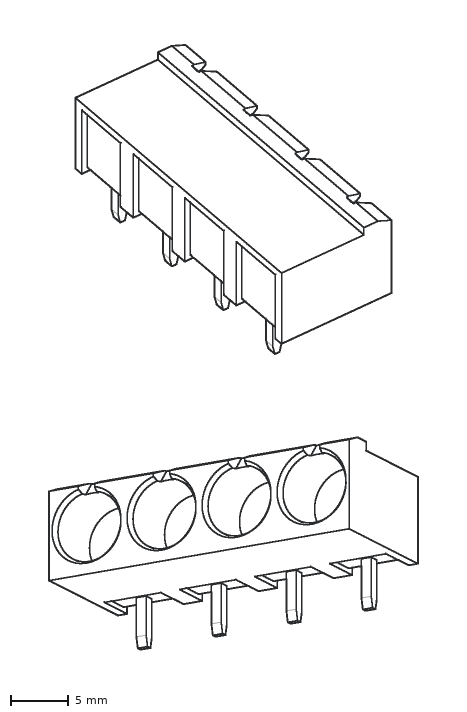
import cadquery as cq
import math

POLES = 4
LENGTH = 30.42
DEPTH = 12.0
TOTAL_HEIGHT = 12.9
BODY_HEIGHT = 8.8
PITCH = LENGTH / POLES

RIDGE_WIDTH = 3.0
RIDGE_RISE = 0.82
RIDGE_SLOPE_RUN = 1.5
RIDGE_SLOPE_DROP = 0.6

POCKET_WIDTH = 5.72
POCKET_TOP = BODY_HEIGHT - 1.6
POCKET_DEPTH = 0.6
RECESS_HEIGHT = 0.45

PIN_SIZE = 1.0
PIN_FROM_FRONT = 1.98
PIN_TIP_THICKNESS = 0.52
PIN_TIP_LENGTH = 1.0
PIN_LENGTH = TOTAL_HEIGHT - BODY_HEIGHT
RECESS_REACH = 2 * PIN_FROM_FRONT

ENTRY_RADIUS = 3.2
ENTRY_DEPTH = DEPTH / 2
ENTRY_Z = 4.5
LEAD_IN_DEPTH = 0.52
LEAD_IN_ANGLE = 30.0

NOTCH_FROM_BACK = 1.73
NOTCH_INNER_WIDTH = 1.0
NOTCH_OUTER_WIDTH = 1.65
NOTCH_FLOOR_TILT = 56.5

FRONT_Y = -DEPTH / 2
BACK_Y = DEPTH / 2
POLE_CENTRES = [(i - (POLES - 1) / 2) * PITCH for i in range(POLES)]


def housing():
    """Long block with the sloped ridge, extruded along X."""
    ridge_front = BACK_Y - RIDGE_WIDTH
    outline = [
        (FRONT_Y, 0),
        (BACK_Y, 0),
        (BACK_Y, BODY_HEIGHT - RIDGE_SLOPE_DROP),
        (BACK_Y - RIDGE_SLOPE_RUN, BODY_HEIGHT),
        (ridge_front, BODY_HEIGHT),
        (ridge_front, BODY_HEIGHT - RIDGE_RISE),
        (FRONT_Y, BODY_HEIGHT - RIDGE_RISE),
    ]
    return cq.Workplane("YZ").polyline(outline).close().extrude(LENGTH / 2, both=True)


def front_pocket(x):
    """L-shaped cut: shallow face pocket plus the deeper recess below it."""
    outline = [
        (FRONT_Y, 0),
        (FRONT_Y + RECESS_REACH, 0),
        (FRONT_Y + RECESS_REACH, RECESS_HEIGHT),
        (FRONT_Y + POCKET_DEPTH, RECESS_HEIGHT),
        (FRONT_Y + POCKET_DEPTH, POCKET_TOP),
        (FRONT_Y, POCKET_TOP),
    ]
    cut = cq.Workplane("YZ").polyline(outline).close().extrude(POCKET_WIDTH / 2, both=True)
    return cut.translate((x, 0, 0))


def wire_entry(x):
    """Blind round hole with its lead-in, revolved about an axis along Y."""
    mouth_radius = ENTRY_RADIUS + LEAD_IN_DEPTH * math.tan(math.radians(LEAD_IN_ANGLE))
    outline = [
        (0, BACK_Y),
        (mouth_radius, BACK_Y),
        (ENTRY_RADIUS, BACK_Y - LEAD_IN_DEPTH),
        (ENTRY_RADIUS, BACK_Y - ENTRY_DEPTH),
        (0, BACK_Y - ENTRY_DEPTH),
    ]
    cut = cq.Workplane("XY").polyline(outline).close().revolve(360, (0, 0), (0, 1))
    return cut.translate((x, 0, ENTRY_Z))


def notch(x):
    """Upright cut that flares towards the back face, over a steep floor down to the wire entry."""
    floor_y = BACK_Y - NOTCH_FROM_BACK
    half_inner = NOTCH_INNER_WIDTH / 2
    half_outer = NOTCH_OUTER_WIDTH / 2
    plan = [
        (-half_inner, floor_y),
        (half_inner, floor_y),
        (half_outer, BACK_Y),
        (-half_outer, BACK_Y),
    ]
    base = cq.Workplane("XY", origin=(0, 0, ENTRY_Z)).polyline(plan).close()
    flared = base.extrude(BODY_HEIGHT - ENTRY_Z)

    floor_drop = NOTCH_FROM_BACK * math.tan(math.radians(NOTCH_FLOOR_TILT))
    above_floor = [
        (floor_y, BODY_HEIGHT),
        (BACK_Y, BODY_HEIGHT - floor_drop),
        (BACK_Y, BODY_HEIGHT),
    ]
    wedge = cq.Workplane("YZ").polyline(above_floor).close().extrude(NOTCH_OUTER_WIDTH / 2, both=True)
    return flared.intersect(wedge).translate((x, 0, 0))


def pin(x):
    """Square pin hanging from the recess, tapered in thickness at its tip."""
    half = PIN_SIZE / 2
    half_tip = PIN_TIP_THICKNESS / 2
    shoulder = PIN_TIP_LENGTH - PIN_LENGTH
    outline = [
        (-half, RECESS_HEIGHT),
        (-half, shoulder),
        (-half_tip, -PIN_LENGTH),
        (half_tip, -PIN_LENGTH),
        (half, shoulder),
        (half, RECESS_HEIGHT),
    ]
    post = cq.Workplane("YZ").polyline(outline).close().extrude(half, both=True)
    return post.translate((x, FRONT_Y + PIN_FROM_FRONT, 0))


result = housing()
for pole_x in POLE_CENTRES:
    result = result.cut(front_pocket(pole_x))
    result = result.cut(wire_entry(pole_x))
    result = result.cut(notch(pole_x))
    result = result.union(pin(pole_x))